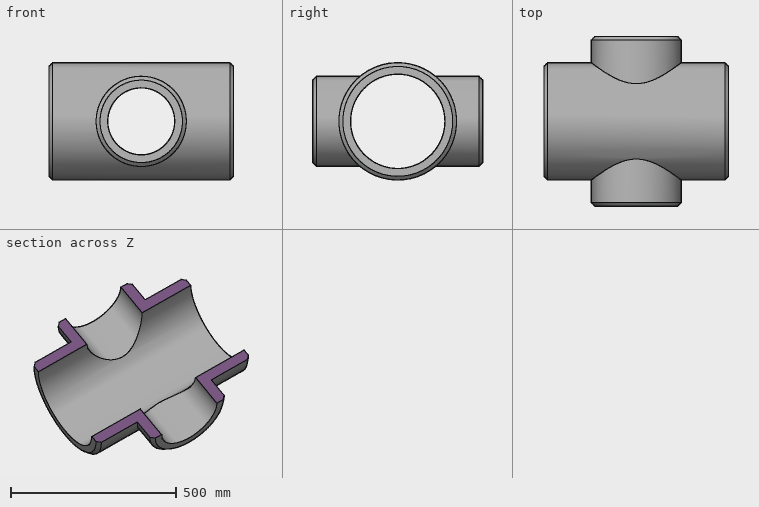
import cadquery as cq

run_length = 559.0
run_outer_diameter = 355.5
run_bore_diameter = 284.5
branch_length = 514.0
branch_outer_diameter = 272.5
branch_bore_diameter = 202.0
end_chamfer = 12.0


def centered_cylinder(plane, diameter, length):
    """Cylinder centred on the origin, with its axis normal to the plane."""
    return cq.Workplane(plane).circle(diameter / 2).extrude(length / 2, both=True)


def chamfered_pipe_body(plane, axis, diameter, length):
    """Solid pipe body with both end rims bevelled."""
    body = centered_cylinder(plane, diameter, length)
    return body.faces(f"|{axis}").edges().chamfer(end_chamfer)


run_body = chamfered_pipe_body("YZ", "X", run_outer_diameter, run_length)
branch_body = chamfered_pipe_body("XZ", "Y", branch_outer_diameter, branch_length)

run_bore = centered_cylinder("YZ", run_bore_diameter, run_length)
branch_bore = centered_cylinder("XZ", branch_bore_diameter, branch_length)

result = run_body.union(branch_body).cut(run_bore).cut(branch_bore)